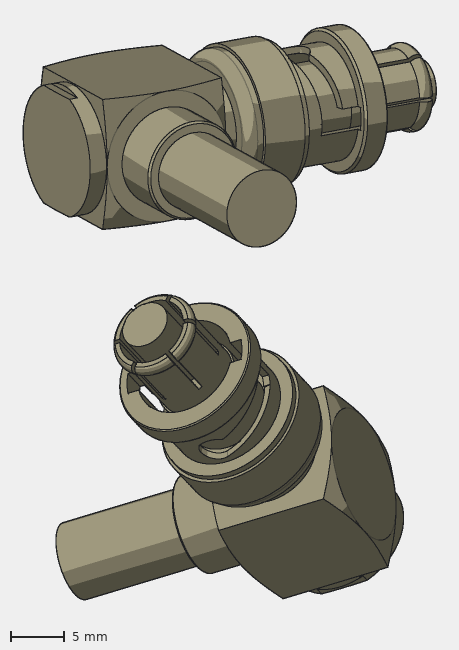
import cadquery as cq
import math


block_size = 12.8
block_half = block_size / 2
cone_angle = 18.0

cap_radius = 6.3
cap_rim_length = 1.75
cap_dome_height = 0.45
cap_flat_offset = 5.8
cap_flat_start = 0.92

tip_end = 31.4
tip_radius = 2.35
neck_radius = 4.8
nose_radius = 3.85
nose_end = 30.13
nose_base_radius = 4.05
nose_base_end = 21.3
nose_bore_radius = 3.35
rim_radius = 4.25
rim_width = 1.4
nose_slot_count = 6
nose_slot_width = 0.4
nose_slot_end = 24.0

mouth_y = 23.55
flange_rear_y = 21.13
shoulder_front_y = 15.1
grip_front_y = 14.45
grip_rear_y = 10.15
sleeve_rear_y = 8.45
sleeve_radius = 6.92
grip_radius = 7.25
barrel_radius = 5.65
barrel_bore_radius = 4.95
flange_front_chamfer = 0.12
flange_rear_chamfer = 0.25
sleeve_rear_fillet = 1.1

latch_y = 17.32
latch_radius = 1.6
track_width = 2.25
track_angle = 15.0
mouth_groove_radius = 6.1

arm_radius = 4.8
arm_end = 11.4
arm_chamfer = 0.2
ferrule_radius = 3.75
ferrule_end = 24.15


def y_cylinder(radius, start, end):
    """Cylinder on the plug axis between two Y positions."""
    return cq.Workplane("XZ", origin=(0, start, 0)).circle(radius).extrude(start - end)


def x_cylinder(radius, start, end):
    """Cylinder on the cable axis between two X positions."""
    return cq.Workplane("YZ", origin=(start, 0, 0)).circle(radius).extrude(end - start)


def make_block():
    """Cube whose corners are trimmed by a shallow cone at both X ends."""
    outer_radius = block_size
    bevel_depth = (outer_radius - block_half) * math.tan(math.radians(cone_angle))
    trim_end = block_half - bevel_depth
    trim = (
        cq.Workplane("XY")
        .moveTo(-block_half, 0)
        .lineTo(-block_half, block_half)
        .lineTo(-trim_end, outer_radius)
        .lineTo(trim_end, outer_radius)
        .lineTo(block_half, block_half)
        .lineTo(block_half, 0)
        .close()
        .revolve(360, (0, 0, 0), (1, 0, 0))
    )
    return cq.Workplane("XY").box(block_size, block_size, block_size).intersect(trim)


def make_cap():
    """Round cap with a domed face and two opposite wrench flats."""
    rim_y = -block_half - cap_rim_length
    apex_y = rim_y - cap_dome_height
    dome_radius = (cap_radius**2 + cap_dome_height**2) / (2 * cap_dome_height)
    mid_x = cap_radius / 2
    mid_y = apex_y + dome_radius - math.sqrt(dome_radius**2 - mid_x**2)
    cap = (
        cq.Workplane("XY")
        .moveTo(0, -block_half)
        .lineTo(cap_radius, -block_half)
        .lineTo(cap_radius, rim_y)
        .threePointArc((mid_x, mid_y), (0, apex_y))
        .close()
        .revolve(360, (0, 0, 0), (0, 1, 0))
    )
    flat_start_y = -block_half - cap_flat_start
    cut_length = flat_start_y - apex_y
    cut_height = cap_radius - cap_flat_offset
    for side in (-1, 1):
        flat_cut = cq.Workplane("XY").box(2 * cap_radius, cut_length, cut_height).translate(
            (0, apex_y + cut_length / 2, side * (cap_flat_offset + cut_height / 2))
        )
        cap = cap.cut(flat_cut)
    return cap


def make_nose():
    """Slotted spring nose on a thicker base, with a rounded rim around a solid tip."""
    rim_start = nose_end - rim_width
    rim = (
        cq.Workplane("XY")
        .moveTo(0, rim_start)
        .lineTo(nose_radius, rim_start)
        .threePointArc((rim_radius, nose_end - rim_width / 2), (nose_radius, nose_end))
        .lineTo(0, nose_end)
        .close()
        .revolve(360, (0, 0, 0), (0, 1, 0))
    )
    base = y_cylinder(nose_base_radius, shoulder_front_y, nose_base_end)
    nose = y_cylinder(nose_radius, shoulder_front_y, nose_end).union(base).union(rim)
    nose = nose.cut(y_cylinder(nose_bore_radius, nose_slot_end, nose_end))
    slot_length = nose_end - nose_slot_end
    slot_cut = cq.Workplane("XY").box(rim_radius, slot_length, nose_slot_width).translate(
        (rim_radius / 2 + tip_radius, nose_slot_end + slot_length / 2, 0)
    )
    for index in range(nose_slot_count):
        angle = index * 360 / nose_slot_count
        nose = nose.cut(slot_cut.rotate((0, 0, 0), (0, 1, 0), angle))
    return nose.union(y_cylinder(tip_radius, nose_slot_end, tip_end))


def make_body():
    """Block, cap, neck, nose and cable arm as one piece."""
    neck = y_cylinder(neck_radius, block_half, shoulder_front_y)
    arm = x_cylinder(arm_radius, block_half, arm_end).faces(">X").chamfer(arm_chamfer)
    return make_block().union(make_cap()).union(neck).union(make_nose()).union(arm)


def make_bayonet_track():
    """One track: axial entry at +X, sloping ramp, and round latch hole on top."""
    slope = math.radians(track_angle)
    hole = cq.Workplane("XY").center(0, latch_y).circle(latch_radius).extrude(barrel_radius)
    ramp_length = 2 * barrel_radius
    ramp = (
        cq.Workplane("XY")
        .rect(ramp_length, track_width)
        .extrude(barrel_radius)
        .translate((ramp_length / 2, track_width / 2 - latch_radius, 0))
        .rotate((0, 0, 0), (0, 0, 1), track_angle)
        .translate((0, latch_y, 0))
    )
    entry_end_y = latch_y - latch_radius / math.cos(slope) + barrel_radius * math.tan(slope)
    entry_length = mouth_y - entry_end_y
    entry = cq.Workplane("XY").box(mouth_groove_radius, entry_length, track_width).translate(
        (mouth_groove_radius / 2, entry_end_y + entry_length / 2, 0)
    )
    barrel_reach = y_cylinder(barrel_radius, shoulder_front_y, flange_rear_y)
    reach = barrel_reach.union(y_cylinder(mouth_groove_radius, flange_rear_y, mouth_y))
    return hole.union(ramp).union(entry).intersect(reach)


def make_sleeve():
    """Coupling sleeve with a front flange, a grip ring and two bayonet tracks."""
    flange = y_cylinder(sleeve_radius, flange_rear_y, mouth_y)
    flange = flange.faces(">Y").chamfer(flange_front_chamfer)
    flange = flange.faces("<Y").chamfer(flange_rear_chamfer)
    rear = y_cylinder(sleeve_radius, sleeve_rear_y, shoulder_front_y)
    rear = rear.faces("<Y").edges().fillet(sleeve_rear_fillet)
    barrel = y_cylinder(barrel_radius, shoulder_front_y, flange_rear_y)
    grip = y_cylinder(grip_radius, grip_rear_y, grip_front_y)
    sleeve = rear.union(grip).union(barrel).union(flange)
    sleeve = sleeve.cut(y_cylinder(neck_radius, sleeve_rear_y, shoulder_front_y))
    sleeve = sleeve.cut(y_cylinder(barrel_bore_radius, shoulder_front_y, mouth_y))
    track = make_bayonet_track()
    for angle in (0, 180):
        sleeve = sleeve.cut(track.rotate((0, 0, 0), (0, 1, 0), angle))
    return sleeve


def make_ferrule():
    """Plain cable ferrule seated on the end of the arm."""
    return x_cylinder(ferrule_radius, arm_end, ferrule_end)


body = make_body()
sleeve = make_sleeve()
ferrule = make_ferrule()

result = cq.Compound.makeCompound([body.val(), sleeve.val(), ferrule.val()])